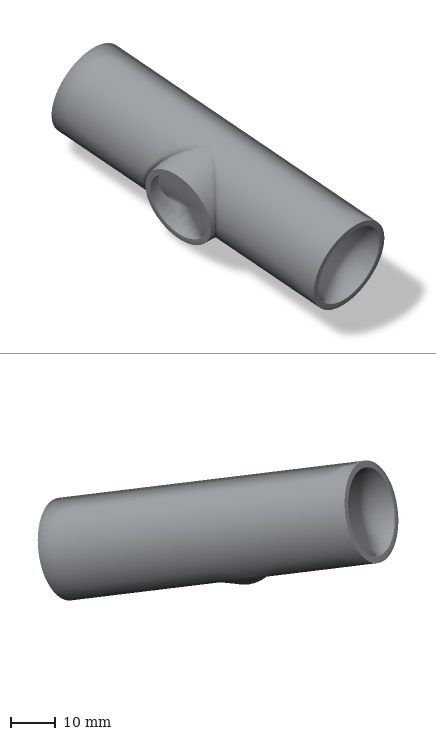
import cadquery as cq

tube_length = 80.0
tube_outer_radius = 11.5
wall = 1.5
tube_inner_radius = tube_outer_radius - wall

branch_reach = 13.0
branch_end_radius = 10.0
branch_root_radius = 11.5


def tube_cylinder(radius):
    return cq.Workplane("YZ").circle(radius).extrude(tube_length / 2, both=True)


def branch_cone(root_radius, end_radius):
    return (
        cq.Workplane("XZ")
        .circle(root_radius)
        .workplane(offset=branch_reach)
        .circle(end_radius)
        .loft(combine=True)
    )


outside = tube_cylinder(tube_outer_radius).union(branch_cone(branch_root_radius, branch_end_radius))
branch_passage = branch_cone(branch_root_radius - wall, branch_end_radius - wall)

result = outside.cut(tube_cylinder(tube_inner_radius)).cut(branch_passage)